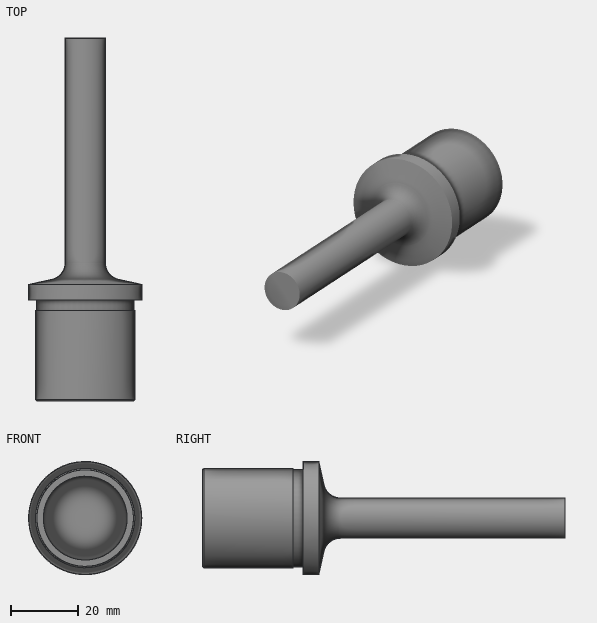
import cadquery as cq
import math

total_length = 108.0

flange_diameter = 33.7
spigot_diameter = 29.6
relief_diameter = 29.0
bore_diameter = 25.0
stem_diameter = 12.0

relief_start = 27.0
flange_front = 30.0
flange_back = 34.7
bore_depth = flange_front

rim_chamfer = 0.4
bore_floor_fillet = 1.1
neck_radius = 5.0
flange_cone_angle = math.radians(12.5)

flange_radius = flange_diameter / 2
spigot_radius = spigot_diameter / 2
relief_radius = relief_diameter / 2
bore_radius = bore_diameter / 2
stem_radius = stem_diameter / 2

arc_center_radius = stem_radius + neck_radius
cone_top_radius = arc_center_radius - neck_radius * math.sin(flange_cone_angle)
cone_top = flange_back + (flange_radius - cone_top_radius) * math.tan(flange_cone_angle)
neck_end = cone_top + neck_radius * math.cos(flange_cone_angle)


def point_on_neck_arc(angle):
    """Point (radius, station) on the neck arc; zero angle lies at the stem side."""
    radius = arc_center_radius - neck_radius * math.cos(angle)
    station = neck_end - neck_radius * math.sin(angle)
    return radius, station


def make_body():
    """Revolve the outer profile, drawn as (radius, station), about the Y axis."""
    arc_sweep = math.pi / 2 - flange_cone_angle
    profile = (
        cq.Workplane("XY")
        .moveTo(0, 0)
        .lineTo(spigot_radius - rim_chamfer, 0)
        .lineTo(spigot_radius, rim_chamfer)
        .lineTo(spigot_radius, relief_start)
        .lineTo(relief_radius, relief_start)
        .lineTo(relief_radius, flange_front)
        .lineTo(flange_radius, flange_front)
        .lineTo(flange_radius, flange_back)
        .lineTo(cone_top_radius, cone_top)
        .threePointArc(point_on_neck_arc(arc_sweep / 2), (stem_radius, neck_end))
        .lineTo(stem_radius, total_length)
        .lineTo(0, total_length)
        .close()
    )
    return profile.revolve(360, (0, 0, 0), (0, 1, 0))


def make_bore():
    """Blind bore from the open rim, with a rounded corner around its floor."""
    bore = cq.Workplane("XZ").circle(bore_radius).extrude(-bore_depth)
    return bore.faces(">Y").edges().fillet(bore_floor_fillet)


result = make_body().cut(make_bore())